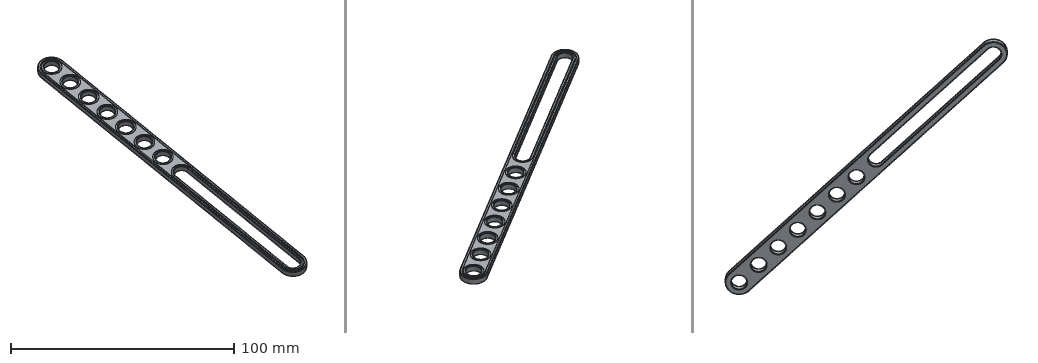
import cadquery as cq

length = 175.0
station_count = 14
round_hole_count = 7
thickness = 3.2
opening_width = 7.0
wall_width = 1.1
recess_depth = 0.21
edge_chamfer = 0.3

pitch = length / station_count
width = pitch
recess_width = width - 2 * wall_width
collar_width = opening_width + 2 * wall_width
floor_z = thickness - recess_depth
last_station = station_count - 1


def station_x(index):
    """X position of a station, counted from the -X end."""
    return (index - last_station / 2) * pitch


def rounded_bar(first, last, bar_width, bottom, height):
    """Round-ended bar whose end arcs are centred on two stations."""
    centre_distance = station_x(last) - station_x(first)
    middle = (station_x(first) + station_x(last)) / 2
    return (
        cq.Workplane("XY", origin=(middle, 0, bottom))
        .slot2D(centre_distance + bar_width, bar_width)
        .extrude(height)
    )


def hole_discs(diameter, bottom, height):
    """One cylinder at each round-hole station."""
    centres = [(station_x(index), 0) for index in range(round_hole_count)]
    return (
        cq.Workplane("XY", origin=(0, 0, bottom))
        .pushPoints(centres)
        .circle(diameter / 2)
        .extrude(height)
    )


strip = rounded_bar(0, last_station, width, 0, thickness)
holes = hole_discs(opening_width, 0, thickness)
slot = rounded_bar(round_hole_count, last_station, opening_width, 0, thickness)
strip = strip.cut(holes).cut(slot)
strip = strip.faces("<Z or >Z").edges().chamfer(edge_chamfer)

recess = rounded_bar(0, last_station, recess_width, floor_z, recess_depth)
hole_collars = hole_discs(collar_width, floor_z, recess_depth)
slot_collar = rounded_bar(round_hole_count, last_station, collar_width, floor_z, recess_depth)
recess = recess.cut(hole_collars).cut(slot_collar)

result = strip.cut(recess)